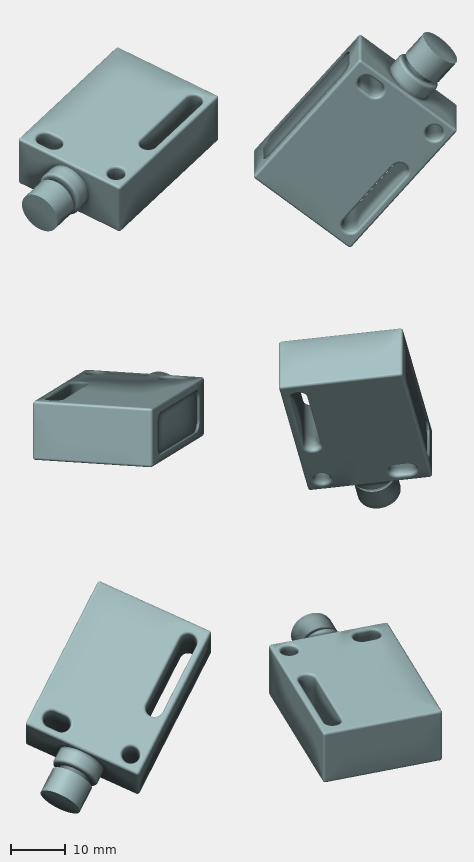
import cadquery as cq

body_width = 23.0
body_length = 31.0
body_height = 11.0
edge_radius = 0.5

opening_width = 3.2
front_row_y = 3.0
right_row_x = 8.5
left_slot_x = -6.5
left_slot_length = 5.2
long_slot_length = 17.4
long_slot_y = body_length - 10.85

window_length = 25.02
window_height = 8.0
window_corner_radius = 2.0
window_depth = 0.5

collar_diameter = 9.0
collar_length = 3.1
neck_diameter = 6.0
neck_length = 1.0
tip_diameter = 8.0
total_length = 40.1
tip_length = total_length - body_length - collar_length - neck_length


def front_cylinder(diameter, length, start):
    """Cylinder along -Y that begins a given distance ahead of the front face."""
    plane = cq.Workplane("XZ", origin=(0, -start, 0))
    return plane.circle(diameter / 2).extrude(length)


def opening_profile(x, y, length, angle):
    """Sketch a slot on the top plane; a length equal to the width gives a round hole."""
    plane = cq.Workplane("XY", origin=(0, 0, -body_height / 2)).center(x, y)
    if length > opening_width:
        return plane.slot2D(length, opening_width, angle)
    return plane.circle(opening_width / 2)


def make_body():
    body = cq.Workplane("XY").box(body_width, body_length, body_height)
    body = body.translate((0, body_length / 2, 0)).edges().fillet(edge_radius)

    openings = [
        (right_row_x, front_row_y, opening_width, 0),
        (left_slot_x, front_row_y, left_slot_length, 0),
        (right_row_x, long_slot_y, long_slot_length, 90),
    ]
    for x, y, length, angle in openings:
        body = body.cut(opening_profile(x, y, length, angle).extrude(body_height))

    for side in (">Z", "<Z"):
        face = body.faces(side).val()
        rim_edges = [edge for wire in face.innerWires() for edge in wire.Edges()]
        body = body.newObject(rim_edges).fillet(edge_radius)
    return body


def make_window():
    window = cq.Workplane("XY").box(2 * window_depth, window_length, window_height)
    window = window.edges("|X").fillet(window_corner_radius)
    return window.translate((-body_width / 2, body_length / 2, 0))


def make_connector():
    collar = front_cylinder(collar_diameter, collar_length, 0)
    collar = collar.faces("<Y").edges().fillet(edge_radius)
    neck = front_cylinder(neck_diameter, neck_length, collar_length)
    tip = front_cylinder(tip_diameter, tip_length, collar_length + neck_length)
    return collar.union(neck).union(tip)


result = make_body().cut(make_window()).union(make_connector())